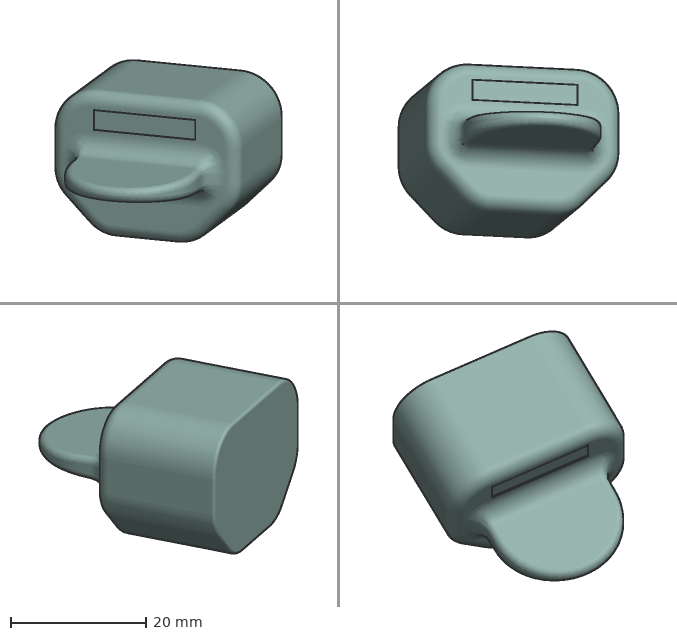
import cadquery as cq

BODY_WIDTH = 29.25
BODY_HEIGHT = 22.05
OVERALL_LENGTH = 34.5
BEVEL = 7.3
UPPER_CORNER_RADIUS = 6.5
LOWER_CORNER_RADIUS = 6.0
FRONT_ROUND = 2.0
BACK_ROUND = 0.5

TAB_LENGTH = 15.0
TAB_WIDTH = 20.0
TAB_ROOT_THICKNESS = 4.0
TAB_TIP_THICKNESS = 2.0
TAB_EDGE_ROUND = 1.0
TAB_ROOT_FILLET = 3.0

RECESS_WIDTH = 15.95
RECESS_HEIGHT = 3.05
RECESS_DEPTH = 0.2
RECESS_CENTER_Z = 6.85

BODY_DEPTH = OVERALL_LENGTH - TAB_LENGTH
HALF_WIDTH = BODY_WIDTH / 2
HALF_HEIGHT = BODY_HEIGHT / 2
OVERLAP = 3.45


def make_body():
    outline = [
        (-HALF_WIDTH, HALF_HEIGHT),
        (HALF_WIDTH, HALF_HEIGHT),
        (HALF_WIDTH, -HALF_HEIGHT + BEVEL),
        (HALF_WIDTH - BEVEL, -HALF_HEIGHT),
        (-HALF_WIDTH + BEVEL, -HALF_HEIGHT),
        (-HALF_WIDTH, -HALF_HEIGHT + BEVEL),
    ]
    body = cq.Workplane("XZ").polyline(outline).close().extrude(-BODY_DEPTH)
    body = body.edges("|Y and >Z").fillet(UPPER_CORNER_RADIUS)
    lower_corners = cq.selectors.BoxSelector(
        (-BODY_WIDTH, 0, -BODY_HEIGHT), (BODY_WIDTH, BODY_DEPTH, 0)
    )
    body = body.edges("|Y").edges(lower_corners).fillet(LOWER_CORNER_RADIUS)
    body = body.faces("<Y").edges().fillet(FRONT_ROUND)
    return body.faces(">Y").edges().fillet(BACK_ROUND)


def make_tab():
    half_width = TAB_WIDTH / 2
    straight_end = half_width - TAB_LENGTH
    planform = (
        cq.Workplane("XY")
        .moveTo(-half_width, OVERLAP)
        .lineTo(-half_width, straight_end)
        .threePointArc((0, -TAB_LENGTH), (half_width, straight_end))
        .lineTo(half_width, OVERLAP)
        .close()
        .extrude(TAB_ROOT_THICKNESS, both=True)
    )
    half_root = TAB_ROOT_THICKNESS / 2
    half_tip = TAB_TIP_THICKNESS / 2
    taper = (half_root - half_tip) / TAB_LENGTH
    half_sunk = half_root + taper * OVERLAP
    wedge = (
        cq.Workplane("YZ")
        .polyline([
            (OVERLAP, half_sunk),
            (-TAB_LENGTH, half_tip),
            (-TAB_LENGTH, -half_tip),
            (OVERLAP, -half_sunk),
        ])
        .close()
        .extrude(TAB_WIDTH, both=True)
    )
    tab = planform.intersect(wedge)
    return tab.edges("not (|X or |Z)").fillet(TAB_EDGE_ROUND)


def fillet_tab_root(part):
    """Blend the tab into the front face along the outline where they meet."""
    reach = 0.35
    root_zone = cq.selectors.BoxSelector(
        (-TAB_WIDTH / 2 - reach, -reach, -TAB_ROOT_THICKNESS),
        (TAB_WIDTH / 2 + reach, reach, TAB_ROOT_THICKNESS),
    )
    return part.edges(root_zone).fillet(TAB_ROOT_FILLET)


def make_recess():
    return (
        cq.Workplane("XZ")
        .center(0, RECESS_CENTER_Z)
        .rect(RECESS_WIDTH, RECESS_HEIGHT)
        .extrude(-RECESS_DEPTH)
    )


body_with_tab = fillet_tab_root(make_body().union(make_tab()))
result = body_with_tab.cut(make_recess())